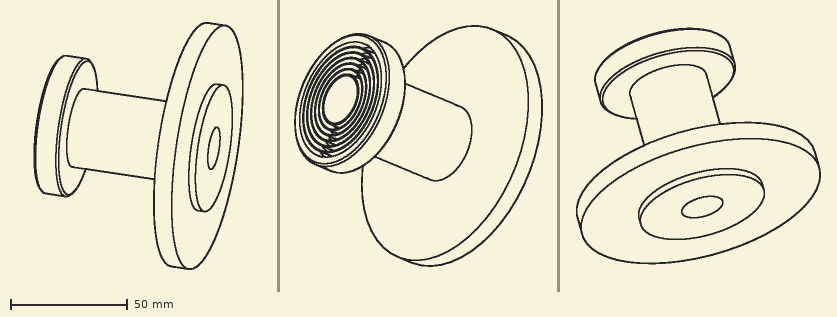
import cadquery as cq

total_length = 72.0
head_diameter = 60.0
head_thickness = 11.0
head_chamfer = 1.0
shaft_diameter = 34.0
plate_diameter = 106.0
plate_thickness = 8.1
spigot_diameter = 55.0
spigot_length = 3.0
bore_diameter = 21.5
outlet_diameter = 18.2

groove_count = 6
outermost_groove_diameter = 52.0
groove_width = 2.0
innermost_groove_diameter = 27.0
groove_depth = 8.0

groove_diameter_step = (outermost_groove_diameter - innermost_groove_diameter) / (groove_count - 1)
plate_end = total_length - spigot_length
plate_start = plate_end - plate_thickness


def disc(diameter, start, end):
    """Solid cylinder along X between two positions."""
    return cq.Workplane("YZ", origin=(start, 0, 0)).circle(diameter / 2).extrude(end - start)


def ring_groove(outer_diameter):
    """Annular groove cutter sunk into the head face."""
    inner_diameter = outer_diameter - 2 * groove_width
    return disc(outer_diameter, 0, groove_depth).cut(disc(inner_diameter, 0, groove_depth))


head = disc(head_diameter, 0, head_thickness).edges().chamfer(head_chamfer)

result = (
    head.union(disc(shaft_diameter, head_thickness / 2, plate_end))
    .union(disc(plate_diameter, plate_start, plate_end))
    .union(disc(spigot_diameter, plate_end, total_length))
)

for index in range(groove_count):
    result = result.cut(ring_groove(outermost_groove_diameter - groove_diameter_step * index))
result = result.cut(disc(bore_diameter, 0, plate_start))
result = result.cut(disc(outlet_diameter, plate_start, total_length))